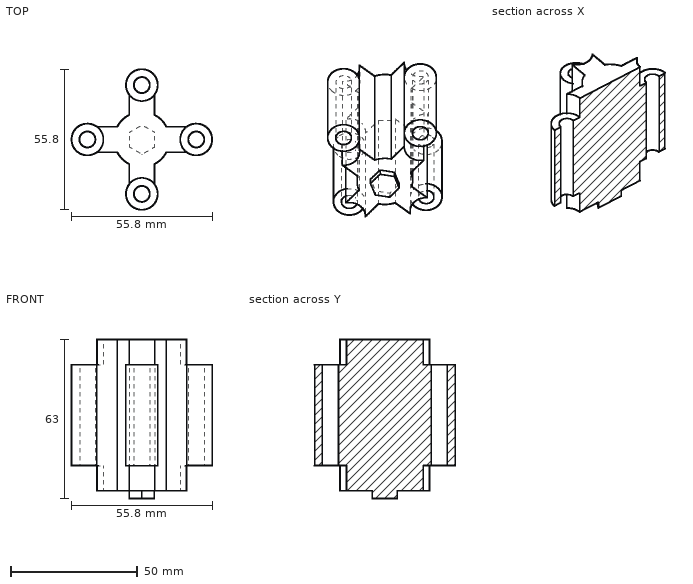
import cadquery as cq
import math

overall_width = 55.75
overall_height = 63.0

body_height = 60.0
core_diameter = 22.0
arm_width = 10.15

tube_count = 4
tube_diameter = 12.65
bore_diameter = 6.25
tube_height = 40.0
tube_base = (body_height - tube_height) / 2
tube_center_radius = (overall_width - tube_diameter) / 2

hex_height = overall_height - body_height
hex_across_flats = 10.0
hex_across_corners = hex_across_flats / math.cos(math.radians(30))


def tube_position_cylinders(diameter, base, height):
    """Cylinders standing at every tube position."""
    return (
        cq.Workplane("XY", origin=(0, 0, base))
        .polarArray(tube_center_radius, 0, 360, tube_count)
        .circle(diameter / 2)
        .extrude(height)
    )


def make_body():
    """Round core with crossed arms whose ends are hollowed to cradle the tubes."""
    core = cq.Workplane("XY").circle(core_diameter / 2).extrude(body_height)
    arm_span = 2 * tube_center_radius
    arm_x = cq.Workplane("XY").rect(arm_span, arm_width).extrude(body_height)
    arm_y = cq.Workplane("XY").rect(arm_width, arm_span).extrude(body_height)
    cradles = tube_position_cylinders(tube_diameter, 0, body_height)
    return core.union(arm_x).union(arm_y).cut(cradles)


def make_hex_stub():
    """Hexagonal stub with corners on the Y axis."""
    return (
        cq.Workplane("XY")
        .transformed(rotate=(0, 0, 90))
        .polygon(6, hex_across_corners)
        .extrude(-hex_height)
    )


tubes = tube_position_cylinders(tube_diameter, tube_base, tube_height)
bores = tube_position_cylinders(bore_diameter, tube_base, tube_height)

result = make_body().union(tubes).cut(bores).union(make_hex_stub())